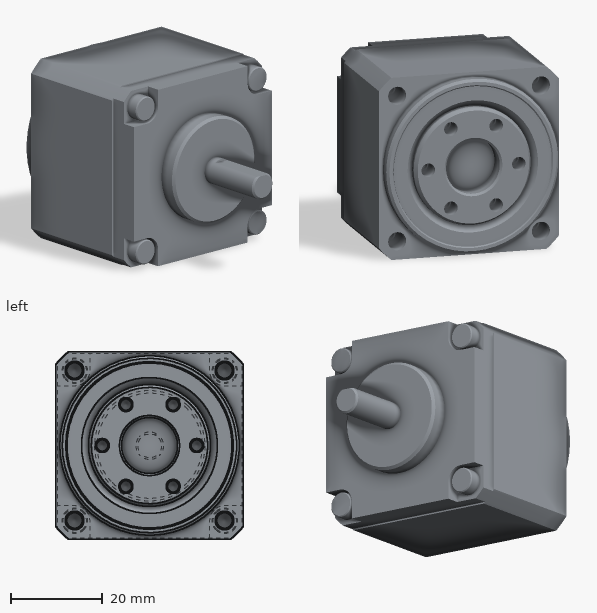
import cadquery as cq
import math


hub_face = 0.0
pilot_face = 0.4
body_start = 3.45
body_end = 30.0
pad_face = 33.45
cover_end = 36.7
boss_end = 40.7
flat_start = 42.65
shaft_end = 56.5

body_width = 40.9
cover_width = 40.2
corner_radius = 27.0

pilot_radius = 19.55
pilot_chamfer = 0.55
seal_radius = 17.95
seal_recess = 0.15
seal_gap = 0.3
groove_outer_radius = 14.8
hub_radius = 13.3
hub_chamfer = 0.6
hub_chamfer_length = 1.1
groove_cone_depth = 1.7

bore_radius = 6.1
bore_chamfer = 0.45
bore_depth = 4.5

drill_point_angle = 118.0
hub_hole_count = 6
hub_hole_circle_radius = 10.3
hub_thread_radius = 1.5
hub_thread_depth = 5.1
hub_drill_radius = 1.25
hub_drill_depth = 6.2
corner_hole_offset = 16.35
corner_thread_radius = 2.05
corner_thread_depth = 7.9
corner_drill_radius = 1.7
corner_drill_depth = 9.6

pocket_radius = 3.3
screw_head_radius = 2.75
screw_head_length = 2.95
screw_head_chamfer = 0.2

boss_radius = 12.05
boss_chamfer = 0.55
shaft_radius = 3.0
shaft_chamfer = 0.4
flat_height = 2.45

CORNERS = [(sy, sz) for sy in (-1, 1) for sz in (-1, 1)]


def cylinder(start, end, radius, y=0.0, z=0.0):
    """Solid cylinder along X, centred on (y, z)."""
    plane = cq.Workplane("YZ", origin=(start, y, z))
    return plane.circle(radius).extrude(end - start)


def revolved(profile):
    """Turn a closed (x, radius) profile about the X axis."""
    return cq.Workplane("XY").polyline(profile).close().revolve(360, (0, 0, 0), (1, 0, 0))


def square_block(start, end, width):
    """Square block along X with its corners trimmed to the corner cylinder."""
    block = cq.Workplane("YZ", origin=(start, 0, 0)).rect(width, width).extrude(end - start)
    return block.intersect(cylinder(start, end, corner_radius))


def output_flange():
    """Pilot ring, seal ring bounded by a fine groove, V-shaped groove and raised hub."""
    seal_face = pilot_face + seal_recess
    return revolved([
        (hub_face, 0),
        (hub_face, hub_radius - hub_chamfer),
        (hub_face + hub_chamfer_length, hub_radius),
        (seal_face + groove_cone_depth, hub_radius),
        (seal_face, groove_outer_radius),
        (seal_face, seal_radius),
        (pilot_face + seal_gap, seal_radius),
        (pilot_face, seal_radius + seal_gap),
        (pilot_face, pilot_radius - pilot_chamfer),
        (pilot_face + pilot_chamfer, pilot_radius),
        (body_start, pilot_radius),
        (body_start, 0),
    ])


def bore():
    """Chamfered blind bore in the middle of the hub."""
    return revolved([
        (hub_face, 0),
        (hub_face, bore_radius + bore_chamfer),
        (hub_face + bore_chamfer, bore_radius),
        (hub_face + bore_depth, bore_radius),
        (hub_face + bore_depth, 0),
    ])


def threaded_hole(face, thread_radius, thread_depth, drill_radius, drill_depth, y, z):
    """Blind hole along +X: thread bore, then a narrower drilling with a conical point."""
    point = drill_radius / math.tan(math.radians(drill_point_angle / 2))
    hole = revolved([
        (face, 0),
        (face, thread_radius),
        (face + thread_depth, thread_radius),
        (face + thread_depth, drill_radius),
        (face + drill_depth, drill_radius),
        (face + drill_depth + point, 0),
    ])
    return hole.translate((0, y, z))


def corner_pocket(side_y, side_z):
    """Open corner pocket in the cover, rounded concentrically with its screw."""
    inner = corner_hole_offset - pocket_radius
    size = cover_width / 2 - inner
    centre = inner + size / 2
    pocket = (
        cq.Workplane("YZ", origin=(pad_face, side_y * centre, side_z * centre))
        .rect(size, size)
        .extrude(cover_end - pad_face)
    )
    inner_edge = cq.selectors.NearestToPointSelector(
        ((pad_face + cover_end) / 2, side_y * inner, side_z * inner)
    )
    return pocket.edges("|X").edges(inner_edge).fillet(pocket_radius)


def screw_head(side_y, side_z):
    """Cap screw head standing on the floor of a corner pocket."""
    y = side_y * corner_hole_offset
    z = side_z * corner_hole_offset
    head = cylinder(pad_face, pad_face + screw_head_length, screw_head_radius, y, z)
    return head.faces(">X").chamfer(screw_head_chamfer)


def input_shaft():
    """Round shaft with a flat on its +Z side."""
    shaft = cylinder(boss_end, shaft_end, shaft_radius).faces(">X").chamfer(shaft_chamfer)
    flat_length = shaft_end - flat_start
    cutter = cq.Workplane("XY").box(
        flat_length, 2 * shaft_radius, shaft_radius, centered=(False, True, False)
    )
    return shaft.cut(cutter.translate((flat_start, 0, flat_height)))


result = square_block(body_start, body_end, body_width)
result = result.union(output_flange())

cover = square_block(body_end, cover_end, cover_width)
for side_y, side_z in CORNERS:
    cover = cover.cut(corner_pocket(side_y, side_z))
    cover = cover.union(screw_head(side_y, side_z))
result = result.union(cover)

result = result.union(cylinder(cover_end, boss_end, boss_radius).faces(">X").chamfer(boss_chamfer))
result = result.union(input_shaft())

result = result.cut(bore())
for index in range(hub_hole_count):
    angle = 2 * math.pi * index / hub_hole_count
    result = result.cut(threaded_hole(
        hub_face, hub_thread_radius, hub_thread_depth, hub_drill_radius, hub_drill_depth,
        hub_hole_circle_radius * math.cos(angle), hub_hole_circle_radius * math.sin(angle),
    ))
for side_y, side_z in CORNERS:
    result = result.cut(threaded_hole(
        body_start, corner_thread_radius, corner_thread_depth, corner_drill_radius, corner_drill_depth,
        side_y * corner_hole_offset, side_z * corner_hole_offset,
    ))